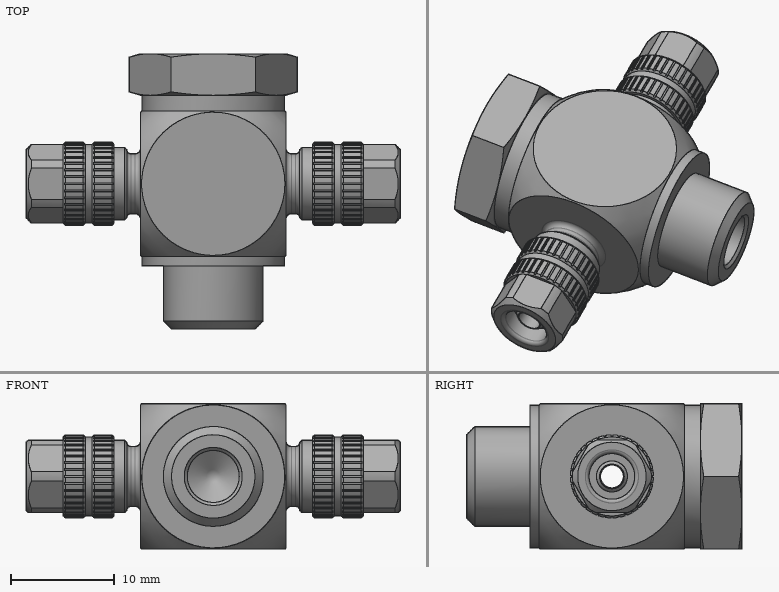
import cadquery as cq
import math

overall_length = 36.0
body_size = 14.0
body_face_diameter = 13.8
hex_height = 4.0
hex_chamfer_length = 0.32
seal_diameter = 13.75
rear_seal_height = 1.5
front_seal_height = 0.9
stud_diameter = 9.6
stud_length = 6.1
stud_chamfer = 0.8
stud_bore_diameter = 5.0
stud_bore_mouth_diameter = 5.58
stud_bore_depth = 10.0
drill_point_angle = 118.0

through_diameter = 2.2
nut_flats = 7.0
nut_diameter = 7.6
nut_face_diameter = 6.6
nut_chamfer_length = 0.5
knurl_diameter = 8.0
knurl_root_diameter = 7.8
knurl_starts = (3.55, 6.35)
knurl_length = 2.12
knurl_chamfer_length = 0.2
knurl_count = 36
knurl_groove_width = 0.18
collar_end = 9.7
collar_diameter = nut_flats
collar_chamfer = 0.2
neck_diameter = 5.8
body_fillet = 0.5
nut_bore_diameter = 4.4
nut_bore_mouth_diameter = 5.1
nut_bore_depth = 1.98
tube_diameter = 3.0
tube_tip_diameter = 2.38
tube_tip_depth = 1.0

half_body = body_size / 2
fitting_length = overall_length / 2 - half_body
front_seal_y = -half_body - front_seal_height
stud_end_y = front_seal_y - stud_length
hex_start_y = half_body + rear_seal_height
overlap = 0.35


def cylinder_y(diameter, start, length):
    """Cylinder along +Y from the given Y position."""
    return cq.Workplane("XZ", origin=(0, start, 0)).circle(diameter / 2).extrude(-length)


def cylinder_x(diameter, start, length):
    """Cylinder along +X from the given X position."""
    return cq.Workplane("YZ", origin=(start, 0, 0)).circle(diameter / 2).extrude(length)


def revolve_x(profile):
    """Turn a closed (axial, radial) profile about the X axis."""
    return profile.close().revolve(360, (0, 0, 0), (1, 0, 0))


def make_body():
    """Cube with its corners turned off by a sphere."""
    sphere_radius = math.hypot(half_body, body_face_diameter / 2)
    cube = cq.Workplane("XY").box(body_size, body_size, body_size)
    return cube.intersect(cq.Workplane("XY").sphere(sphere_radius))


def make_hex_head():
    """Hexagonal bolt head, both ends chamfered by a cone at the corners."""
    corner_diameter = body_size / math.cos(math.pi / 6)
    corner_radius = corner_diameter / 2
    hex_end_y = hex_start_y + hex_height
    head = (
        cq.Workplane("XZ", origin=(0, hex_start_y, 0))
        .polygon(6, corner_diameter)
        .extrude(-hex_height)
    )
    envelope = (
        cq.Workplane("XY")
        .moveTo(0, hex_start_y)
        .lineTo(half_body, hex_start_y)
        .lineTo(corner_radius, hex_start_y + hex_chamfer_length)
        .lineTo(corner_radius, hex_end_y - hex_chamfer_length)
        .lineTo(half_body, hex_end_y)
        .lineTo(0, hex_end_y)
        .close()
        .revolve(360, (0, 0, 0), (0, 1, 0))
    )
    return head.intersect(envelope)


def make_stud():
    """Threaded end of the bolt with its lead-in chamfer."""
    stud = cylinder_y(stud_diameter, stud_end_y, stud_length + overlap)
    return stud.faces("<Y").edges().chamfer(stud_chamfer)


def make_stud_bore():
    """Blind drilled bore with a chamfered mouth and a conical bottom."""
    radius = stud_bore_diameter / 2
    mouth_radius = stud_bore_mouth_diameter / 2
    bore_end_y = stud_end_y + stud_bore_depth
    point_height = radius / math.tan(math.radians(drill_point_angle / 2))
    return (
        cq.Workplane("XY")
        .moveTo(0, stud_end_y)
        .lineTo(mouth_radius, stud_end_y)
        .lineTo(radius, stud_end_y + mouth_radius - radius)
        .lineTo(radius, bore_end_y)
        .lineTo(0, bore_end_y + point_height)
        .close()
        .revolve(360, (0, 0, 0), (0, 1, 0))
    )


def make_nut_hex():
    """Rounded hexagon with a conical outer end, and the round core under both knurls."""
    nut_end = knurl_starts[-1] + knurl_length
    nut_radius = nut_diameter / 2
    hexagon = (
        cq.Workplane("YZ")
        .polygon(6, nut_flats / math.cos(math.pi / 6))
        .extrude(knurl_starts[0])
    )
    turned = revolve_x(
        cq.Workplane("XY")
        .lineTo(0, nut_face_diameter / 2)
        .lineTo(nut_chamfer_length, nut_radius)
        .lineTo(nut_end, nut_radius)
        .lineTo(nut_end, 0)
    )
    core = cylinder_x(nut_diameter, knurl_starts[0], nut_end - knurl_starts[0])
    return hexagon.intersect(turned).union(core)


def make_knurl(start):
    """Ring with chamfered edges and straight grooves around its rim."""
    end = start + knurl_length
    edge_radius = nut_diameter / 2
    rim_radius = knurl_diameter / 2
    root_radius = knurl_root_diameter / 2
    groove_height = 2 * (rim_radius - root_radius)
    ring = revolve_x(
        cq.Workplane("XY")
        .moveTo(start, 0)
        .lineTo(start, edge_radius)
        .lineTo(start + knurl_chamfer_length, rim_radius)
        .lineTo(end - knurl_chamfer_length, rim_radius)
        .lineTo(end, edge_radius)
        .lineTo(end, 0)
    )
    grooves = (
        cq.Workplane("YZ", origin=(start, 0, 0))
        .polarArray(root_radius + groove_height / 2, 0, 360, knurl_count)
        .rect(groove_height, knurl_groove_width)
        .extrude(knurl_length)
    )
    return ring.cut(grooves)


def make_neck():
    """Collar and waisted neck that flares into the body."""
    collar_radius = collar_diameter / 2
    neck_radius = neck_diameter / 2
    shoulder_radius = collar_radius - collar_chamfer
    shoulder_fillet = shoulder_radius - neck_radius
    return revolve_x(
        cq.Workplane("XY")
        .moveTo(knurl_starts[-1], 0)
        .lineTo(knurl_starts[-1], collar_radius)
        .lineTo(collar_end - collar_chamfer, collar_radius)
        .lineTo(collar_end, shoulder_radius)
        .radiusArc((collar_end + shoulder_fillet, neck_radius), -shoulder_fillet)
        .lineTo(fitting_length - body_fillet, neck_radius)
        .radiusArc((fitting_length, neck_radius + body_fillet), -body_fillet)
        .lineTo(fitting_length + overlap, neck_radius + body_fillet)
        .lineTo(fitting_length + overlap, 0)
    )


def make_nut_recess():
    """Annular recess with a rounded mouth around the tapered tube tip."""
    bore_radius = nut_bore_diameter / 2
    mouth_radius = nut_bore_mouth_diameter / 2
    mouth_round = mouth_radius - bore_radius
    tube_radius = tube_diameter / 2
    tip_radius = tube_tip_diameter / 2
    tip_end = tube_tip_depth + tube_radius - tip_radius
    return revolve_x(
        cq.Workplane("XY")
        .lineTo(0, mouth_radius)
        .radiusArc((mouth_round, bore_radius), -mouth_round)
        .lineTo(nut_bore_depth, bore_radius)
        .lineTo(nut_bore_depth, tube_radius)
        .lineTo(tip_end, tube_radius)
        .lineTo(tube_tip_depth, tip_radius)
        .lineTo(tube_tip_depth, 0)
    )


def make_fitting():
    """Hose fitting on the -X side of the body."""
    fitting = make_nut_hex().union(make_neck())
    for start in knurl_starts:
        fitting = fitting.union(make_knurl(start))
    return fitting.cut(make_nut_recess()).translate((-overall_length / 2, 0, 0))


left_fitting = make_fitting()
right_fitting = left_fitting.mirror("YZ")

rear_seal = cylinder_y(seal_diameter, half_body, rear_seal_height)
front_seal = cylinder_y(seal_diameter, front_seal_y, front_seal_height)
cross_bore = cylinder_x(through_diameter, -overall_length / 2, overall_length)

result = make_body()
for piece in (rear_seal, front_seal, make_hex_head(), make_stud(), left_fitting, right_fitting):
    result = result.union(piece)
result = result.cut(make_stud_bore()).cut(cross_bore)

result = result.translate((0, -(hex_start_y + hex_height + stud_end_y) / 2, 0))